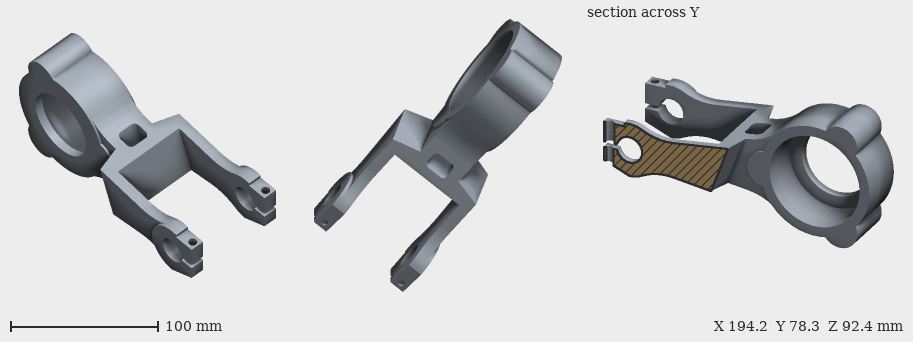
import cadquery as cq
import math

overall_length = 194.2

ring_radius = 41.5
ring_width = 36.9
bore_radius = 25.0
bore_lip = 6.2
bearing_seat_radius = 34.2
lobe_radius = 13.4
lobe_pitch_radius = 37.9
lobe_count = 3

clamp_x = 133.2
clamp_radius = 20.0
clamp_bore_radius = 9.5
clamp_slot = 3.9
clamp_end_x = overall_length - ring_radius
ear_start_x = 137.3
ear_top = 17.3
ear_bottom = -12.0
screw_x = 148.0
screw_clearance_radius = 3.1
screw_thread_radius = 2.3

overall_width = 78.3
fork_width = 73.2
fork_gap = 56.7
neck_width = 33.5
shoulder_x = 60.2
fork_corner_x = 65.6
fork_root_x = 74.0
fork_tilt = 20

blend_radius = 40.8
ring_blend_x = 56.3
clamp_blend_x = 104.9

window_x = 59.5
window_length = 13.2
window_width = 17.5
window_corner = 3.7

tall = 116.5


def y_prism(profile, y_start, y_end):
    """Extrude an XZ profile from y_start to y_end."""
    return profile.extrude(y_start - y_end).translate((0, y_start, 0))


def y_cylinder(x, z, radius, y_start, y_end):
    return y_prism(cq.Workplane("XZ").center(x, z).circle(radius), y_start, y_end)


def leaning_prism(outline):
    """Extrude a closed XY outline along the lean of the fork, centred on the XY plane."""
    lean = tall * math.tan(math.radians(fork_tilt))
    path = cq.Vector(-lean, 0, tall)
    solid = cq.Solid.extrudeLinear(outline.wires().val(), [], path)
    return cq.Workplane(solid).translate((lean / 2, 0, -tall / 2))


def make_ring():
    half = ring_width / 2
    ring = y_cylinder(0, 0, ring_radius, -half, half)
    for i in range(lobe_count):
        angle = 2 * math.pi * i / lobe_count
        x = lobe_pitch_radius * math.cos(angle)
        z = lobe_pitch_radius * math.sin(angle)
        ring = ring.union(y_cylinder(x, z, lobe_radius, -half, half))
    return ring


def side_profile():
    """Fork outline in XZ, symmetric about Z = 0."""
    ring_center_z = math.sqrt((ring_radius + blend_radius) ** 2 - ring_blend_x ** 2)
    clamp_dx = clamp_x - clamp_blend_x
    clamp_center_z = math.sqrt((clamp_radius + blend_radius) ** 2 - clamp_dx ** 2)
    edge_slope = (clamp_center_z - ring_center_z) / (clamp_blend_x - ring_blend_x)
    edge_angle = math.atan(edge_slope) - math.pi / 2
    ring_angle = math.atan2(-ring_center_z, -ring_blend_x)
    clamp_angle = math.atan2(-clamp_center_z, clamp_dx)

    def blend_arc(center_x, center_z, start, end):
        """Start, middle and end points of a blend arc."""
        return [
            (center_x + blend_radius * math.cos(a), center_z + blend_radius * math.sin(a))
            for a in (start, (start + end) / 2, end)
        ]

    ring_arc = blend_arc(ring_blend_x, ring_center_z, ring_angle, edge_angle)
    clamp_arc = blend_arc(clamp_blend_x, clamp_center_z, edge_angle, clamp_angle)

    def mirrored(point):
        return (point[0], -point[1])

    return (
        cq.Workplane("XZ")
        .moveTo(*ring_arc[0])
        .threePointArc(ring_arc[1], ring_arc[2])
        .lineTo(*clamp_arc[0])
        .threePointArc(clamp_arc[1], clamp_arc[2])
        .lineTo(*mirrored(clamp_arc[2]))
        .threePointArc(mirrored(clamp_arc[1]), mirrored(clamp_arc[0]))
        .lineTo(*mirrored(ring_arc[2]))
        .threePointArc(mirrored(ring_arc[1]), mirrored(ring_arc[0]))
        .close()
    )


def make_fork():
    far_x = clamp_x + tall
    outline = (
        cq.Workplane("XY")
        .moveTo(-tall, neck_width / 2)
        .lineTo(shoulder_x, neck_width / 2)
        .lineTo(fork_corner_x, fork_width / 2)
        .lineTo(far_x, fork_width / 2)
        .lineTo(far_x, fork_gap / 2)
        .lineTo(fork_root_x, fork_gap / 2)
        .lineTo(fork_root_x, 0)
        .lineTo(-tall, 0)
        .close()
    )
    half_fork = leaning_prism(outline)
    plan = half_fork.union(half_fork.mirror("XZ"))
    return plan.intersect(y_prism(side_profile(), -fork_width / 2, fork_width / 2))


def make_clamp():
    """Clamp body on the +Y arm."""
    inner = fork_gap / 2
    outer = overall_width / 2
    arc_end_z = math.sqrt(clamp_radius ** 2 - (ear_start_x - clamp_x) ** 2)
    profile = (
        cq.Workplane("XZ")
        .moveTo(clamp_x, -clamp_radius)
        .lineTo(clamp_end_x, ear_bottom)
        .lineTo(clamp_end_x, ear_top)
        .lineTo(ear_start_x, ear_top)
        .lineTo(ear_start_x, arc_end_z)
        .threePointArc((clamp_x - clamp_radius, 0), (clamp_x, -clamp_radius))
        .close()
    )
    return y_prism(profile, inner, outer)


def clamp_cutters():
    """Shaft bore, slot and stepped screw hole of the +Y clamp."""
    inner = fork_gap / 2
    outer = overall_width / 2
    bore = y_cylinder(clamp_x, 0, clamp_bore_radius, inner, outer)
    slot = cq.Workplane("XY").box(tall, outer - inner, clamp_slot).translate(
        (clamp_x + tall / 2, (inner + outer) / 2, 0))
    screw_axis = cq.Workplane("XY").center(screw_x, (inner + outer) / 2)
    clearance = screw_axis.circle(screw_clearance_radius).extrude(tall / 2)
    thread = screw_axis.circle(screw_thread_radius).extrude(-tall / 2)
    return bore.union(slot).union(clearance).union(thread)


def ring_bore():
    half = ring_width / 2
    bore = y_cylinder(0, 0, bore_radius, -half, half)
    return bore.union(y_cylinder(0, 0, bearing_seat_radius, bore_lip - half, half))


def neck_window():
    block = (
        cq.Workplane("XY")
        .center(window_x, 0)
        .rect(window_length, window_width)
        .extrude(tall)
        .edges("|Z")
        .fillet(window_corner)
    )
    return leaning_prism(block.faces("<Z").wires())


result = make_ring().union(make_fork())
clamp = make_clamp()
cutters = clamp_cutters()
result = result.union(clamp).union(clamp.mirror("XZ"))
result = result.cut(cutters).cut(cutters.mirror("XZ"))
result = result.cut(ring_bore()).cut(neck_window())